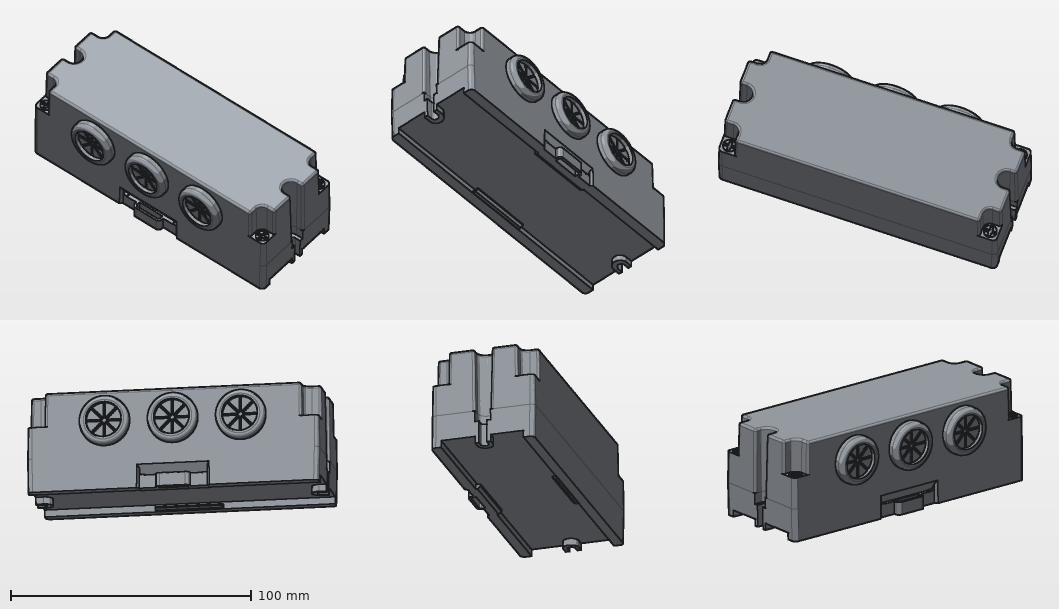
import cadquery as cq
import math

LENGTH = 123.36
WIDTH = 45.0
HEIGHT = 42.5
PARTING_Z = 14.5
DRAFT = 1.0
CORNER_RADIUS = 2.0
EDGE_FILLET = 1.0
OVERALL_DEPTH = 48.72

POCKET_FLOOR_Z = 28.0
POCKET_REACH = 7.4
POCKET_RADIUS = 3.0
SCREW_INSET = 4.0
SCREW_HEAD_DIAMETER = 5.5
SCREW_HEAD_SINK = 0.3
CROSS_LENGTH = 4.4
CROSS_WIDTH = 1.2
CROSS_DEPTH = 1.0

WIDE_SLOT_WIDTH = 6.8
WIDE_SLOT_REACH = 6.9
WIDE_SLOT_FLOOR_Z = 9.7
NARROW_SLOT_WIDTH = 3.5
NARROW_SLOT_REACH = 4.5

RAIL_WIDTH = 4.5
CHANNEL_DEPTH = 3.0

PLUG_DIAMETER = 21.0
PLUG_PITCH = 28.8
PLUG_Z = 29.3
PLUG_COUNT = 3
PLUG_RIM_FILLET = 2.0
PLUG_RECESS_DIAMETER = 15.0
PLUG_RECESS_DEPTH = 2.0
PLUG_ROOT_DEPTH = 2.5
GROOVE_WIDTH = 0.7
GROOVE_DEPTH = 0.5
GROOVES_ACROSS = 4
PLUG_HUB_DIAMETER = 2.2

WINDOW_WIDTH = 30.8
WINDOW_INNER_WIDTH = 28.6
WINDOW_TOP_Z = 10.4
WINDOW_DEPTH = 1.9
LATCH_TOP_Z = 5.6
LATCH_SHOULDER_HEIGHT = 0.25
LATCH_SHOULDER_WIDTH = 2.1
LATCH_SETBACK = 1.1
TAB_WIDTH = 14.4
TAB_PROTRUSION = 1.5
TAB_CORNER_RADIUS = 1.8
TAB_WALL = 1.1
LOOP_SETBACK = 0.9

LATCH_HOOK_SECTION = [(0, 0), (0.7, 0), (2.0, 1.1), (2.0, 2.0), (0, 2.0)]
FIXED_HOOK_SECTION = [(0, 0.3), (1.3, 0.3), (2.6, 1.0), (2.6, 1.5), (0, 1.5)]

draft_slope = math.tan(math.radians(DRAFT))
half_length = LENGTH / 2
half_width = WIDTH / 2
base_inset = PARTING_Z * draft_slope
base_front_y = -half_width - base_inset
base_back_y = half_width - base_inset
channel_front_y = base_front_y + RAIL_WIDTH
channel_back_y = base_back_y - RAIL_WIDTH
plug_face_y = half_width - OVERALL_DEPTH
latch_face_y = base_front_y + LATCH_SETBACK
plug_positions = [(i - (PLUG_COUNT - 1) / 2) * PLUG_PITCH for i in range(PLUG_COUNT)]
screw_positions = [
    (sx * (half_length - SCREW_INSET), sy * (half_width - SCREW_INSET))
    for sx in (-1, 1)
    for sy in (-1, 1)
]


def centred_box(size_x, size_y, size_z, x, y, z):
    """Box centred on x and y whose underside is at z."""
    box = cq.Workplane("XY").box(size_x, size_y, size_z, centered=(True, True, False))
    return box.translate((x, y, z))


def rounded_outline(length, width, radius=CORNER_RADIUS):
    """Rectangle with rounded corners."""
    return cq.Sketch().rect(length, width).vertices().fillet(radius)


def base_block():
    """Solid base: three walls draft inward toward the bottom, the -Y wall runs straight on from the lid."""
    bottom = rounded_outline(LENGTH - 2 * base_inset, WIDTH).moved(cq.Location(cq.Vector(0, -base_inset, 0)))
    parting = rounded_outline(LENGTH, WIDTH).moved(cq.Location(cq.Vector(0, 0, PARTING_Z)))
    return cq.Workplane("XY").placeSketch(bottom, parting).loft(ruled=True)


def end_slot(side, width, reach, bottom_z, height, taper=0.0):
    """Round-ended slot running in from one end of the housing."""
    outline = cq.Sketch().slot(2 * reach - width, width)
    return (
        cq.Workplane("XY", origin=(side * half_length, 0, bottom_z))
        .placeSketch(outline)
        .extrude(height, taper=taper)
    )


def make_lid():
    """Lid with corner screw pockets and end slots that widen upward, and rounded edges."""
    lid = (
        cq.Workplane("XY", origin=(0, 0, PARTING_Z))
        .placeSketch(rounded_outline(LENGTH, WIDTH))
        .extrude(HEIGHT - PARTING_Z, taper=DRAFT)
    )
    pocket_outline = rounded_outline(2 * POCKET_REACH, 2 * POCKET_REACH, POCKET_RADIUS)
    for sx in (-1, 1):
        for sy in (-1, 1):
            pocket = (
                cq.Workplane("XY", origin=(sx * half_length, sy * half_width, POCKET_FLOOR_Z))
                .placeSketch(pocket_outline)
                .extrude(HEIGHT - POCKET_FLOOR_Z + EDGE_FILLET, taper=-DRAFT)
            )
            lid = lid.cut(pocket)
        slot_height = HEIGHT - PARTING_Z + EDGE_FILLET
        lid = lid.cut(end_slot(sx, WIDE_SLOT_WIDTH, WIDE_SLOT_REACH, PARTING_Z, slot_height, -DRAFT))
    lid = round_opening_edges(lid)
    return lid.faces(">Z").edges().fillet(EDGE_FILLET)


def round_opening_edges(lid):
    """Round the upright edges where the pockets and slots break through the side walls."""
    shortest = HEIGHT - POCKET_FLOOR_Z - EDGE_FILLET
    end_x = half_length - CORNER_RADIUS
    side_y = half_width - CORNER_RADIUS
    picked = []
    for edge in lid.edges("not(#Z)").vals():
        middle = edge.Center()
        on_end_wall = abs(middle.x) > end_x and abs(middle.y) < side_y
        on_side_wall = abs(middle.y) > side_y and abs(middle.x) < end_x
        if edge.BoundingBox().zlen > shortest and (on_end_wall or on_side_wall):
            picked.append(edge)
    return lid.newObject(picked).fillet(EDGE_FILLET)


def make_base():
    """Base with the rail channel, a foot at each end and stepped mounting slots."""
    block = base_block()
    channel_width = channel_back_y - channel_front_y
    channel_y = (channel_back_y + channel_front_y) / 2
    base = block.cut(centred_box(LENGTH, channel_width, CHANNEL_DEPTH, 0, channel_y, 0))
    for side in (-1, 1):
        foot = end_slot(side, WIDE_SLOT_WIDTH, WIDE_SLOT_REACH, 0, CHANNEL_DEPTH)
        base = base.union(foot.intersect(block))
        slot_height = PARTING_Z - WIDE_SLOT_FLOOR_Z
        base = base.cut(end_slot(side, WIDE_SLOT_WIDTH, WIDE_SLOT_REACH, WIDE_SLOT_FLOOR_Z, slot_height))
        base = base.cut(end_slot(side, NARROW_SLOT_WIDTH, NARROW_SLOT_REACH, 0, PARTING_Z))
    return base


def screw_recess(x, y):
    """Sunken round screw head with a cross recess."""
    bottom_z = POCKET_FLOOR_Z - SCREW_HEAD_SINK
    head = (
        cq.Workplane("XY", origin=(x, y, bottom_z))
        .circle(SCREW_HEAD_DIAMETER / 2)
        .extrude(SCREW_HEAD_SINK)
    )
    cross_z = bottom_z - CROSS_DEPTH
    along_x = centred_box(CROSS_LENGTH, CROSS_WIDTH, CROSS_DEPTH, x, y, cross_z)
    along_y = centred_box(CROSS_WIDTH, CROSS_LENGTH, CROSS_DEPTH, x, y, cross_z)
    return head.union(along_x).union(along_y)


def make_plug(x):
    """Round plug with a dished face and grooves radiating from a plain hub."""
    root_y = -half_width + PLUG_ROOT_DEPTH
    floor_y = plug_face_y + PLUG_RECESS_DEPTH
    plug = (
        cq.Workplane("XZ", origin=(x, root_y, PLUG_Z))
        .circle(PLUG_DIAMETER / 2)
        .extrude(root_y - plug_face_y)
        .faces("<Y")
        .edges()
        .fillet(PLUG_RIM_FILLET)
    )
    recess = (
        cq.Workplane("XZ", origin=(x, floor_y, PLUG_Z))
        .circle(PLUG_RECESS_DIAMETER / 2)
        .extrude(PLUG_RECESS_DEPTH)
    )
    plug = plug.cut(recess)
    groove_base = cq.Workplane("XZ", origin=(x, floor_y + GROOVE_DEPTH, PLUG_Z))
    groove_limit = (
        groove_base.circle(PLUG_RECESS_DIAMETER / 2)
        .circle(PLUG_HUB_DIAMETER / 2)
        .extrude(GROOVE_DEPTH)
    )
    for i in range(GROOVES_ACROSS):
        groove = (
            groove_base.transformed(rotate=(0, 0, i * 180 / GROOVES_ACROSS))
            .rect(PLUG_RECESS_DIAMETER, GROOVE_WIDTH)
            .extrude(GROOVE_DEPTH)
        )
        plug = plug.cut(groove.intersect(groove_limit))
    return plug


def make_window():
    """Window narrowing inward, with a ceiling that slopes down to the top of the latch."""
    outer_y = base_front_y
    inner_y = latch_face_y + WINDOW_DEPTH
    plan = [
        (-WINDOW_WIDTH / 2, outer_y),
        (-WINDOW_INNER_WIDTH / 2, latch_face_y),
        (-WINDOW_INNER_WIDTH / 2, inner_y),
        (WINDOW_INNER_WIDTH / 2, inner_y),
        (WINDOW_INNER_WIDTH / 2, latch_face_y),
        (WINDOW_WIDTH / 2, outer_y),
    ]
    side = [
        (outer_y, 0),
        (outer_y, WINDOW_TOP_Z),
        (inner_y, LATCH_TOP_Z),
        (inner_y, 0),
    ]
    opening = cq.Workplane("XY").polyline(plan).close().extrude(WINDOW_TOP_Z)
    ceiling = cq.Workplane("YZ").polyline(side).close().extrude(WINDOW_WIDTH / 2, both=True)
    return opening.intersect(ceiling)


def make_hook(profile):
    """Rail hook of constant cross-section along X."""
    return cq.Workplane("YZ").polyline(profile).close().extrude(WINDOW_INNER_WIDTH / 2, both=True)


def make_latch():
    """Latch plate with a looped finger tab in front and a hook reaching into the channel."""
    plate_depth = channel_front_y - latch_face_y
    plate_y = (channel_front_y + latch_face_y) / 2
    plate_height = LATCH_TOP_Z + LATCH_SHOULDER_HEIGHT
    plate = centred_box(WINDOW_INNER_WIDTH, plate_depth, plate_height, 0, plate_y, 0)
    dip_width = WINDOW_INNER_WIDTH - 2 * LATCH_SHOULDER_WIDTH
    plate = plate.cut(centred_box(dip_width, plate_depth, LATCH_SHOULDER_HEIGHT, 0, plate_y, LATCH_TOP_Z))

    tab_depth = LATCH_SETBACK + TAB_PROTRUSION
    tab_y = latch_face_y - tab_depth / 2
    tab = centred_box(TAB_WIDTH, tab_depth, LATCH_TOP_Z, 0, tab_y, 0)
    tab = tab.edges("|Z and <Y").fillet(TAB_CORNER_RADIUS)
    loop_depth = tab_depth - TAB_WALL + LOOP_SETBACK
    loop_y = latch_face_y + LOOP_SETBACK - loop_depth / 2
    loop_hole = centred_box(TAB_WIDTH - 2 * TAB_WALL, loop_depth, LATCH_TOP_Z, 0, loop_y, 0)
    loop_hole = loop_hole.edges("|Z and <Y").fillet(TAB_CORNER_RADIUS - TAB_WALL)
    hook = make_hook([(channel_front_y + reach, z) for reach, z in LATCH_HOOK_SECTION])
    return plate.union(tab).cut(loop_hole).union(hook)


def make_fixed_hook():
    """Hook on the +Y rail of the channel."""
    return make_hook([(channel_back_y - reach, z) for reach, z in FIXED_HOOK_SECTION])


result = make_base().union(make_lid())
for screw_x, screw_y in screw_positions:
    result = result.cut(screw_recess(screw_x, screw_y))
result = result.cut(make_window()).union(make_latch()).union(make_fixed_hook())
for plug_x in plug_positions:
    result = result.union(make_plug(plug_x))